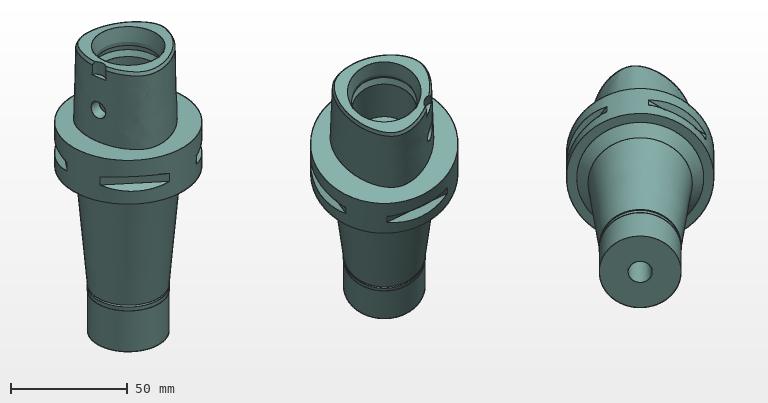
import cadquery as cq
import math

full_turn = 360

total_height = 143.0
cap_top = 20.6
ring_top = 22.6
cone_bottom = 23.5
cone_top = 78.1
flange_bottom = 83.0
flange_top = 105.0

cap_radius = 35.0 / 2
ring_radius = 35.2 / 2
neck_radius = 13.7
cone_top_radius = 22.3
collar_radius = cone_top_radius + flange_bottom - cone_top
flange_radius = 63.0 / 2

shank_base_radius = 22.2
shank_lobe = 1.36
shank_curve_points = 48
shank_taper = 1 / 40
shank_chamfer_height = 1.6
shank_chamfer_width = 0.9

mouth_radius = 15.7
bore_radius = 14.0
mouth_depth = 6.7
groove_radius = 15.7
groove_start_depth = 8.5
groove_end_depth = 11.6
groove_cone_end_depth = 14.0
bore_depth = total_height - flange_top
holder_hole_radius = 17.9 / 2
cap_hole_radius = 5.1

slot_count = 4
slot_first_angle = 45
slot_height = 93.1
slot_floor_distance = 27.7
slot_floor_width = 4.0
slot_mouth_width = 7.5

notch_radius = 4.5
notch_axis_distance = 22.2
notch_depth = 6.3
pocket_radius = 4.0
pocket_height = 120.5
pocket_floor_distance = 14.9


def lobed_wire(mean_radius, height):
    """Closed three-lobed curve; its tangents lie mean_radius + shank_lobe * cos(3 * angle) from the axis."""
    points = []
    for index in range(shank_curve_points):
        angle = 2 * math.pi * index / shank_curve_points
        normal_distance = mean_radius + shank_lobe * math.cos(3 * angle)
        tangent_shift = -3 * shank_lobe * math.sin(3 * angle)
        x = -normal_distance * math.sin(angle) - tangent_shift * math.cos(angle)
        y = normal_distance * math.cos(angle) - tangent_shift * math.sin(angle)
        points.append(cq.Vector(x, y, height))
    return cq.Wire.assembleEdges([cq.Edge.makeSpline(points, periodic=True)])


def make_shank():
    """Tapered three-lobed shank with a chamfered top edge."""
    chamfer_start = total_height - shank_chamfer_height
    shoulder_radius = shank_base_radius - shank_taper * (chamfer_start - flange_top)
    base = lobed_wire(shank_base_radius, flange_top)
    shoulder = lobed_wire(shoulder_radius, chamfer_start)
    top = lobed_wire(shoulder_radius - shank_chamfer_width, total_height)
    return cq.Workplane(cq.Solid.makeLoft([base, shoulder, top], True))


def make_turned_body():
    """Neck, long cone and flange, solid to the axis."""
    profile = [
        (0, cap_top),
        (neck_radius, cap_top),
        (neck_radius, cone_bottom),
        (cap_radius, cone_bottom),
        (cone_top_radius, cone_top),
        (collar_radius, flange_bottom),
        (flange_radius, flange_bottom),
        (flange_radius, flange_top),
        (0, flange_top),
    ]
    return cq.Workplane("XZ").polyline(profile).close().revolve(full_turn, (0, 0), (0, 1))


def make_bore():
    """Space inside the holder: conical mouth, undercut groove, bore and the hole below it."""
    profile = [
        (0, total_height),
        (mouth_radius, total_height),
        (bore_radius, total_height - mouth_depth),
        (bore_radius, total_height - groove_start_depth),
        (groove_radius, total_height - groove_start_depth),
        (groove_radius, total_height - groove_end_depth),
        (bore_radius, total_height - groove_cone_end_depth),
        (bore_radius, total_height - bore_depth),
        (holder_hole_radius, total_height - bore_depth),
        (holder_hole_radius, cap_top),
        (0, cap_top),
    ]
    return cq.Workplane("XZ").polyline(profile).close().revolve(full_turn, (0, 0), (0, 1))


def make_gripper_slot(angle):
    """Trapezoidal groove cut straight across the flange rim."""
    half_floor = slot_floor_width / 2
    half_mouth = slot_mouth_width / 2
    profile = [
        (slot_floor_distance, slot_height - half_floor),
        (flange_radius, slot_height - half_mouth),
        (flange_radius, slot_height + half_mouth),
        (slot_floor_distance, slot_height + half_floor),
    ]
    slot = cq.Workplane("XZ").polyline(profile).close().extrude(flange_radius, both=True)
    return slot.rotate((0, 0, 0), (0, 0, 1), angle)


def make_key_notch():
    notch = cq.Workplane("XY", origin=(0, -notch_axis_distance, total_height - notch_depth))
    return notch.circle(notch_radius).extrude(notch_depth)


def make_round_pocket():
    pocket = cq.Workplane("XZ", origin=(0, -pocket_floor_distance, pocket_height))
    return pocket.circle(pocket_radius).extrude(flange_radius - pocket_floor_distance)


def make_holder():
    holder = make_turned_body().union(make_shank()).cut(make_bore())
    for index in range(slot_count):
        holder = holder.cut(make_gripper_slot(slot_first_angle + index * full_turn / slot_count))
    return holder.cut(make_key_notch()).cut(make_round_pocket())


def make_ring():
    """Ring around the holder's neck."""
    ring = cq.Workplane("XY", origin=(0, 0, cap_top))
    return ring.circle(ring_radius).circle(neck_radius).extrude(ring_top - cap_top)


def make_cap():
    """End cap below the neck and the ring."""
    return cq.Workplane("XY").circle(cap_radius).circle(cap_hole_radius).extrude(cap_top)


holder = make_holder()
ring = make_ring()
cap = make_cap()

result = cq.Compound.makeCompound([holder.val(), ring.val(), cap.val()])